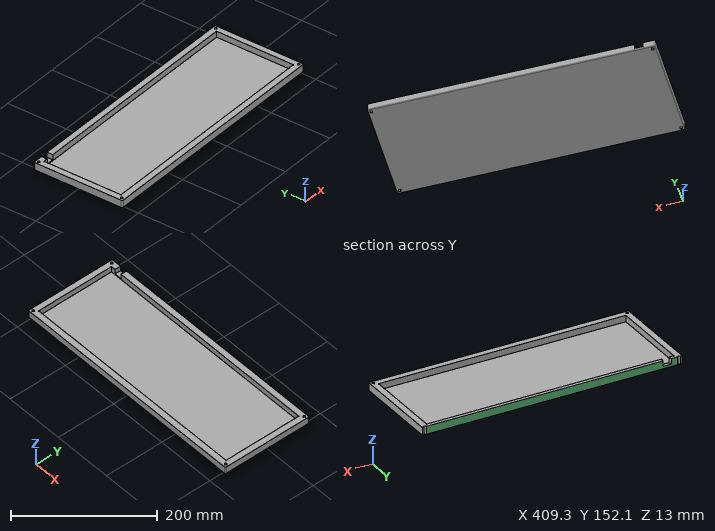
import cadquery as cq

LENGTH = 409.32
WIDTH = 152.14
HEIGHT = 13.0
CORNER_RADIUS = 2.0
BOTTOM_RADIUS = 1.0

RIM = 10.16
FLOOR = 3.0

HOLE_DIAMETER = 3.4
HOLE_INSET = 5.0

NOTCH_START = 17.5
NOTCH_WIDTH = 12.3
NOTCH_FLOOR = 4.5


def tray_body():
    """Solid block with rounded vertical corners and a rounded bottom edge."""
    block = cq.Workplane("XY").box(LENGTH, WIDTH, HEIGHT, centered=(True, True, False))
    block = block.edges("|Z").fillet(CORNER_RADIUS)
    return block.faces("<Z").edges().fillet(BOTTOM_RADIUS)


def pocket():
    """Rectangular pocket, open at the top."""
    return (
        cq.Workplane("XY")
        .workplane(offset=FLOOR)
        .box(LENGTH - 2 * RIM, WIDTH - 2 * RIM, HEIGHT - FLOOR, centered=(True, True, False))
    )


def cable_notch():
    """Slot from the pocket out through the rear rim, near the left end."""
    left = -LENGTH / 2 + NOTCH_START
    front = WIDTH / 2 - RIM
    slot = cq.Workplane("XY").box(NOTCH_WIDTH, RIM, HEIGHT - NOTCH_FLOOR, centered=False)
    return slot.translate((left, front, NOTCH_FLOOR))


def corner_holes():
    """One through hole in each rim corner."""
    return (
        cq.Workplane("XY")
        .rect(LENGTH - 2 * HOLE_INSET, WIDTH - 2 * HOLE_INSET, forConstruction=True)
        .vertices()
        .circle(HOLE_DIAMETER / 2)
        .extrude(HEIGHT)
    )


result = tray_body().cut(pocket()).cut(cable_notch()).cut(corner_holes())